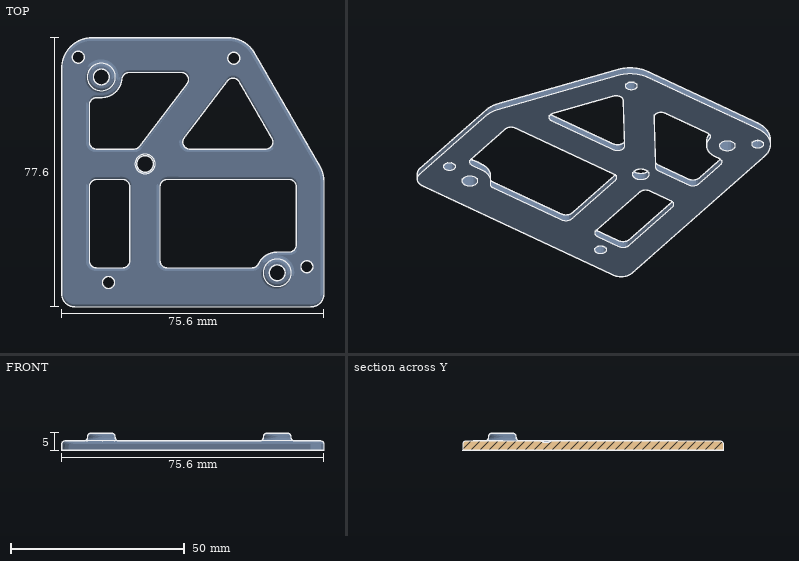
import cadquery as cq
import math

plate_length = 75.6
plate_width = 77.6
plate_thickness = 2.8
total_height = 5.0
lower_corner_radius = 3.8
upper_corner_radius = 8.8
cut_corner_angle = math.radians(60)
cut_corner_end_y = 38.5
edge_round = 1.0
overlap = 0.5
tolerance = 0.001

side_border = 8.05
top_border = 10.1
bottom_border = 11.3
rib_width = 8.8
middle_rib_y = 36.7
slot_width = 11.55
window_corner_radius = 2.0
diagonal_rib_angle = math.radians(52.8)
upper_left_window_base = 13.8

window_left = side_border
window_right = plate_length - side_border
window_top = plate_width - top_border
upper_window_y = middle_rib_y + rib_width
upper_window_height = window_top - upper_window_y
diagonal_run = upper_window_height / math.tan(diagonal_rib_angle)

boss_diameter = 8.0
boss_round = 1.0
boss_hole_diameter = 4.5
boss_pad_radius = boss_diameter / 2 + boss_round + edge_round
upper_boss = (11.45, 66.25)
lower_boss = (62.1, 9.85)

mount_hole_diameter = 3.4
mount_holes = [(4.8, 71.95), (49.6, 71.65), (13.5, 7.05), (70.65, 11.6)]
centre_hole_diameter = 4.73
centre_hole_chamfer = 0.5
centre_hole = (24.05, 41.2)


def prism(points):
    """Straight-sided cutter through the whole plate."""
    return (
        cq.Workplane("XY")
        .workplane(offset=-overlap)
        .polyline(points)
        .close()
        .extrude(plate_thickness + 2 * overlap)
    )


def rectangle(x_start, y_start, x_end, y_end):
    return prism([(x_start, y_start), (x_end, y_start), (x_end, y_end), (x_start, y_end)])


def cylinder(centre, diameter, height):
    return (
        cq.Workplane("XY")
        .workplane(offset=-overlap)
        .center(*centre)
        .circle(diameter / 2)
        .extrude(height + 2 * overlap)
    )


def keep_boss_pad(window, boss, corner, inward):
    """Leave a round pad for a boss in a window, squared off toward the given window corner.

    inward is +1 or -1, the Y direction from that corner into the window.
    """
    x, y = boss
    corner_x, corner_y = corner
    outward_x = math.copysign(overlap, corner_x - x)
    block = rectangle(x, y + inward * boss_pad_radius, corner_x + outward_x, corner_y - inward * overlap)
    return window.cut(block).cut(cylinder(boss, 2 * boss_pad_radius, plate_thickness))


def round_corners(window, boss=None):
    """Round the upright window corners, except where a round pad meets its square side smoothly."""
    edges = window.edges("|Z").vals()
    if boss is not None:
        edges = [edge for edge in edges if abs(edge.Center().x - boss[0]) > tolerance]
    return window.newObject(edges).fillet(window_corner_radius)


def make_outline():
    cut_corner_run = (plate_width - cut_corner_end_y) / math.tan(cut_corner_angle)
    plate = (
        cq.Workplane("XY")
        .polyline(
            [
                (0, 0),
                (plate_length, 0),
                (plate_length, cut_corner_end_y),
                (plate_length - cut_corner_run, plate_width),
                (0, plate_width),
            ]
        )
        .close()
        .extrude(plate_thickness)
    )
    plate = plate.edges("|Z and <Y").fillet(lower_corner_radius)
    corner_edges = plate.edges("|Z").vals()
    rounded_top_y = lower_corner_radius + tolerance
    upper_corners = [edge for edge in corner_edges if edge.Center().y > rounded_top_y]
    return plate.newObject(upper_corners).fillet(upper_corner_radius)


def make_slot():
    return round_corners(
        rectangle(window_left, bottom_border, window_left + slot_width, middle_rib_y)
    )


def make_lower_right_window():
    left = window_left + slot_width + rib_width
    window = rectangle(left, bottom_border, window_right, middle_rib_y)
    window = keep_boss_pad(window, lower_boss, (window_right, bottom_border), 1)
    return round_corners(window, lower_boss)


def make_upper_left_window():
    base_end = window_left + upper_left_window_base
    window = prism(
        [
            (window_left, upper_window_y),
            (base_end, upper_window_y),
            (base_end + diagonal_run, window_top),
            (window_left, window_top),
        ]
    )
    window = keep_boss_pad(window, upper_boss, (window_left, window_top), -1)
    return round_corners(window, upper_boss)


def make_triangle_window():
    left = window_left + upper_left_window_base + rib_width / math.sin(diagonal_rib_angle)
    apex_x = left + diagonal_run
    right = apex_x + upper_window_height / math.tan(cut_corner_angle)
    return round_corners(
        prism([(left, upper_window_y), (right, upper_window_y), (apex_x, window_top)])
    )


def make_boss(centre):
    """Boss with a rounded top edge and a hollow round running out into the plate."""
    radius = boss_diameter / 2
    foot_top = plate_thickness + boss_round
    shoulder = total_height - boss_round
    diagonal = boss_round * math.sqrt(0.5)
    foot_centre = radius + boss_round
    top_centre = radius - boss_round
    return (
        cq.Workplane("XZ")
        .moveTo(0, plate_thickness - overlap)
        .lineTo(foot_centre, plate_thickness - overlap)
        .lineTo(foot_centre, plate_thickness)
        .threePointArc((foot_centre - diagonal, foot_top - diagonal), (radius, foot_top))
        .lineTo(radius, shoulder)
        .threePointArc((top_centre + diagonal, shoulder + diagonal), (top_centre, total_height))
        .lineTo(0, total_height)
        .close()
        .revolve(360, (0, 0), (0, 1))
        .translate((*centre, 0))
    )


def make_plate():
    plate = make_outline()
    for window in (
        make_slot(),
        make_lower_right_window(),
        make_upper_left_window(),
        make_triangle_window(),
    ):
        plate = plate.cut(window)
    return plate.faces(">Z").edges().fillet(edge_round)


def cut_holes(part):
    for centre in (upper_boss, lower_boss):
        part = part.cut(cylinder(centre, boss_hole_diameter, total_height))
    for centre in mount_holes:
        part = part.cut(cylinder(centre, mount_hole_diameter, plate_thickness))
    return (
        part.cut(cylinder(centre_hole, centre_hole_diameter, plate_thickness))
        .faces(cq.selectors.NearestToPointSelector((*centre_hole, plate_thickness / 2)))
        .edges(">Z")
        .chamfer(centre_hole_chamfer)
    )


part = make_plate()
for boss_centre in (upper_boss, lower_boss):
    part = part.union(make_boss(boss_centre))
result = cut_holes(part)